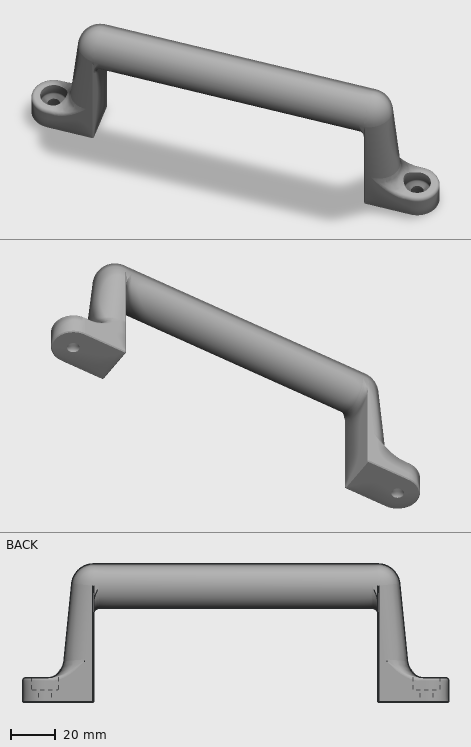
import cadquery as cq
import math

length = 190.0
width = 20.0
height = 62.0
radius = width / 2
inner_face_x = 63.3
lean = 0.1
foot_height = 11.2
leg_blend = 8.0
rim_round = 1.5
edge_break = 0.48
grip_blend = 2.5

hole_diameter = 5.7
counterbore_diameter = 12.2
counterbore_floor_z = 5.7
floor_round = 0.5

grip_z = height - radius
screw_x = length / 2 - radius
lean_angle = math.degrees(math.atan(lean))
rim_end_x = 67.5
tolerance = 0.1
clearance = 38.0


def round_foot_rim(leg):
    """Round the top rim of the foot, up to where the leg becomes tangent to its flat sides."""
    foot_region = cq.Workplane("XY").box(
        length, length, length, centered=(False, True, True)
    ).translate((rim_end_x, 0, 0))
    foot = leg.intersect(foot_region)
    upright = leg.cut(foot_region)

    def rim_edges(y_min, y_max):
        return cq.selectors.BoxSelector(
            (rim_end_x + tolerance, y_min - tolerance, foot_height - tolerance),
            (length, y_max + tolerance, grip_z),
        )

    rim = rim_edges(-radius, -radius) + rim_edges(radius, radius)
    end_arc = cq.selectors.BoxSelector(
        (screw_x, -radius, foot_height - tolerance),
        (length, radius, foot_height + tolerance),
    )
    return foot.edges(rim + end_arc).fillet(rim_round).union(upright)


def leg_and_foot():
    """Right leg: a leaning round column blended into a foot, trimmed to width."""
    slab = cq.Workplane("XY").box(
        4 * clearance, 2 * clearance, foot_height, centered=(True, True, False)
    ).translate((inner_face_x, 0, 0))
    column = (
        cq.Workplane("XY")
        .circle(radius)
        .extrude(-2 * clearance)
        .rotate((0, 0, 0), (0, 1, 0), -lean_angle)
        .translate((inner_face_x, 0, grip_z))
    )
    junction = cq.selectors.BoxSelector(
        (inner_face_x - clearance / 2, -clearance / 2, foot_height - tolerance),
        (inner_face_x + clearance / 2, clearance / 2, foot_height + tolerance),
    )
    blended = slab.union(column).edges(junction).fillet(leg_blend)

    web = (
        cq.Workplane("XZ")
        .moveTo(inner_face_x, 0)
        .lineTo(inner_face_x + lean * grip_z, 0)
        .lineTo(inner_face_x, grip_z)
        .close()
        .extrude(width, both=True)
    )
    envelope = (
        cq.Workplane("XY")
        .moveTo(inner_face_x, -radius)
        .lineTo(screw_x, -radius)
        .threePointArc((screw_x + radius, 0), (screw_x, radius))
        .lineTo(inner_face_x, radius)
        .close()
        .extrude(height)
        .edges("|Z and <X")
        .chamfer(edge_break)
    )
    leg = round_foot_rim(blended.union(web).intersect(envelope))
    return leg.faces("<Z").edges().chamfer(edge_break)


def cut_screw_hole(leg):
    """Drill the foot and sink a round-floored counterbore above the drilling."""
    bore = cq.Workplane("XY").center(screw_x, 0).circle(hole_diameter / 2).extrude(clearance)
    counterbore = (
        cq.Workplane("XY", origin=(screw_x, 0, counterbore_floor_z))
        .circle(counterbore_diameter / 2)
        .extrude(clearance)
        .faces("<Z")
        .edges()
        .fillet(floor_round)
    )
    return leg.cut(bore).cut(counterbore)


def grip_collar():
    """Concave fillet under the grip bar where it meets the inner leg face."""
    outer = radius + grip_blend
    middle = grip_blend * (1 - math.sqrt(0.5))
    collar = (
        cq.Workplane("XY")
        .moveTo(inner_face_x, 0)
        .lineTo(inner_face_x, outer)
        .threePointArc(
            (inner_face_x - middle, radius + middle),
            (inner_face_x - grip_blend, radius),
        )
        .lineTo(inner_face_x - grip_blend, 0)
        .close()
        .revolve(360, (0, 0, 0), (1, 0, 0))
        .translate((0, 0, grip_z))
    )
    lower_half = cq.Workplane("XY").box(length, width, grip_z, centered=(True, True, False))
    return collar.intersect(lower_half)


def handle_end():
    elbow = cq.Workplane("XY").sphere(radius).translate((inner_face_x, 0, grip_z))
    return cut_screw_hole(leg_and_foot()).union(elbow).union(grip_collar())


grip = (
    cq.Workplane("YZ", origin=(-inner_face_x, 0, grip_z))
    .circle(radius)
    .extrude(2 * inner_face_x)
)
right_end = handle_end()
result = grip.union(right_end).union(right_end.mirror("YZ"))